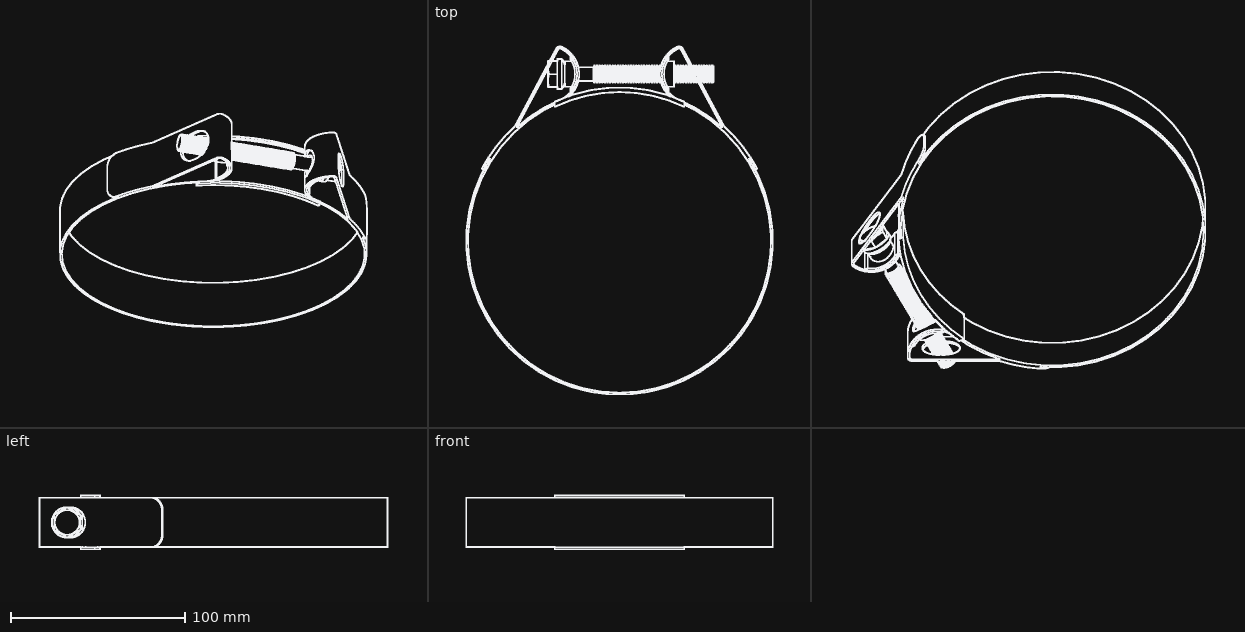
import cadquery as cq
import math

ring_diameter = 176.4
strap_width = 28.5
strap_thickness = 1.2

bolt_y = 96.0
loop_center_x = 40.5
tip_radius = 1.2
leg_tilt = 28.0
fold_y = 66.3
overlap_end_angle = 27.8
overlap_corner_radius = 7.2
fold_radius = 2.8
slot_width = 17.6
slot_height = 19.2
slot_y = 95.3
loop_hole_diameter = 16.0

bridge_length = 74.5
bridge_width = 31.0
bridge_thickness = 1.3
lip_overhang = 0.3

saddle_thickness = 1.2
saddle_back_x = 28.5
boss_diameter = 14.8
boss_end_x = 31.5

thread_diameter = 10.0
thread_root_diameter = 8.2
thread_pitch = 1.5
groove_mouth = thread_pitch * 7 / 8
groove_floor = thread_pitch / 4
thread_start_x = -15.0
thread_end_x = 54.0
thread_end_chamfer = 0.6
shank_diameter = 8.0
head_flats = 15.0
head_end_x = -41.2
head_face_diameter = 14.2
head_chamfer_height = 0.8
flange_diameter = 17.5
flange_start_x = -35.6
flange_dome_x = -33.2
flange_dome_bulge = 0.2
flange_seat_diameter = 10.8

ring_outer = ring_diameter / 2
ring_inner = ring_outer - strap_thickness
overlap_outer = ring_outer + strap_thickness
loop_center = (-loop_center_x, bolt_y)
loop_radius = math.hypot(*loop_center) - ring_inner
loop_inner = loop_radius - strap_thickness
saddle_inner = loop_inner - saddle_thickness
leg_direction = (math.sin(math.radians(leg_tilt)), math.cos(math.radians(leg_tilt)))


def polar(radius, degrees, center=(0.0, 0.0)):
    angle = math.radians(degrees)
    return (center[0] + radius * math.cos(angle), center[1] + radius * math.sin(angle))


def direction_angle(point, center=(0.0, 0.0)):
    return math.degrees(math.atan2(point[1] - center[1], point[0] - center[0]))


def along_leg_to_circle(start, center, radius):
    """Upper crossing of a circle with the line through start along the leg."""
    dx = start[0] - center[0]
    dy = start[1] - center[1]
    along = dx * leg_direction[0] + dy * leg_direction[1]
    step = -along + math.sqrt(along**2 - dx**2 - dy**2 + radius**2)
    return (start[0] + step * leg_direction[0], start[1] + step * leg_direction[1])


def mid_arc(start, end, radius, center=(0.0, 0.0)):
    """Point halfway along the arc between two points around a centre."""
    middle = (direction_angle(start, center) + direction_angle(end, center)) / 2
    return polar(radius, middle, center)


def arc_band(inner, outer, start_angle, end_angle, width):
    """Flat-ended part of a tube around Z, centred on Z = 0."""
    middle_angle = (start_angle + end_angle) / 2
    return (
        cq.Workplane("XY", origin=(0, 0, -width / 2))
        .moveTo(*polar(outer, start_angle))
        .threePointArc(polar(outer, middle_angle), polar(outer, end_angle))
        .lineTo(*polar(inner, end_angle))
        .threePointArc(polar(inner, middle_angle), polar(inner, start_angle))
        .close()
        .extrude(width)
    )


def x_cylinder(diameter, start_x, end_x):
    """Cylinder on the bolt axis."""
    return (
        cq.Workplane("YZ", origin=(start_x, bolt_y, 0))
        .circle(diameter / 2)
        .extrude(end_x - start_x)
    )


def left_loop():
    fold_outer = (-math.sqrt(overlap_outer**2 - fold_y**2), fold_y)
    leg_inner_start = (
        fold_outer[0] + strap_thickness * leg_direction[1],
        fold_outer[1] - strap_thickness * leg_direction[0],
    )
    tip_outer = along_leg_to_circle(fold_outer, loop_center, loop_radius)
    tip_inner = along_leg_to_circle(leg_inner_start, loop_center, loop_inner)
    fold_inner = along_leg_to_circle(leg_inner_start, (0, 0), ring_outer)
    foot_angle = direction_angle(loop_center)
    foot_outer = polar(ring_inner, foot_angle)
    foot_inner = polar(ring_outer, foot_angle)
    end_outer = polar(overlap_outer, 180 - overlap_end_angle)
    end_inner = polar(ring_outer, 180 - overlap_end_angle)

    loop = (
        cq.Workplane("XY", origin=(0, 0, -strap_width / 2))
        .moveTo(*foot_outer)
        .threePointArc(mid_arc(foot_outer, tip_outer, loop_radius, loop_center), tip_outer)
        .lineTo(*fold_outer)
        .threePointArc(mid_arc(fold_outer, end_outer, overlap_outer), end_outer)
        .lineTo(*end_inner)
        .threePointArc(mid_arc(end_inner, fold_inner, ring_outer), fold_inner)
        .lineTo(*tip_inner)
        .threePointArc(mid_arc(tip_inner, foot_inner, loop_inner, loop_center), foot_inner)
        .close()
        .extrude(strap_width)
    )
    loop = loop.edges(cq.NearestToPointSelector((*tip_outer, 0))).fillet(tip_radius + strap_thickness)
    loop = loop.edges(cq.NearestToPointSelector((*tip_inner, 0))).fillet(tip_radius)
    loop = loop.edges(cq.NearestToPointSelector((*fold_outer, 0))).fillet(fold_radius)

    end_middle = polar(ring_outer + strap_thickness / 2, 180 - overlap_end_angle)
    for side in (-1, 1):
        corner = (*end_middle, side * strap_width / 2)
        loop = loop.edges(cq.NearestToPointSelector(corner)).fillet(overlap_corner_radius)

    leg_slot = (
        cq.Workplane("YZ", origin=(-ring_outer, slot_y, 0))
        .slot2D(slot_height, slot_width)
        .extrude(ring_outer - loop_center_x + loop_radius / 2)
    )
    return loop.cut(leg_slot)


def build_strap():
    left_foot_angle = direction_angle(loop_center)
    right_foot_angle = 180 - left_foot_angle
    ring = arc_band(ring_inner, ring_outer, left_foot_angle, 360 + right_foot_angle, strap_width)
    loop = left_loop()
    strap = ring.union(loop, clean=False).union(loop.mirror("YZ"), clean=False)
    return strap.cut(x_cylinder(loop_hole_diameter, -loop_center_x, loop_center_x), clean=False)


def build_bridge():
    base_inner = ring_inner - bridge_thickness
    lip_outer = ring_outer + lip_overhang
    channel = arc_band(base_inner, lip_outer, 0, 180, bridge_width)
    strap_room = arc_band(ring_inner, overlap_outer, 0, 180, strap_width)
    trim = cq.Workplane("XY").box(bridge_length, 2 * ring_diameter, bridge_width)
    return channel.cut(strap_room).intersect(trim)


def left_saddle():
    boss = x_cylinder(boss_diameter, -boss_end_x, -loop_center_x + loop_inner)
    loop_space = cq.Workplane("XY").cylinder(strap_width, loop_inner).translate((*loop_center, 0))
    hollow = cq.Workplane("XY").cylinder(strap_width, saddle_inner).translate((*loop_center, 0))
    plate_room = (
        cq.Workplane("XY")
        .box(loop_radius, 2 * loop_radius, strap_width)
        .translate((-saddle_back_x + loop_radius / 2, bolt_y, 0))
    )
    plate = loop_space.cut(hollow).intersect(plate_room)
    saddle = plate.union(boss.intersect(loop_space))
    return saddle.cut(x_cylinder(thread_diameter, -loop_center_x, 0))


def bolt_head():
    hexagon = (
        cq.Workplane("YZ", origin=(head_end_x, bolt_y, 0))
        .polygon(6, head_flats, circumscribed=True)
        .extrude(flange_start_x - head_end_x)
    )
    corner_radius = head_flats / math.sqrt(3)
    face_radius = head_face_diameter / 2
    corner_cut = (
        cq.Workplane("XY")
        .moveTo(head_end_x, 0)
        .lineTo(head_end_x, face_radius)
        .lineTo(head_end_x + head_chamfer_height, corner_radius)
        .lineTo(flange_start_x, corner_radius)
        .lineTo(flange_start_x, 0)
        .close()
        .revolve(360, (0, 0, 0), (1, 0, 0))
        .translate((0, bolt_y, 0))
    )
    return hexagon.intersect(corner_cut)


def bolt_flange():
    rim = flange_diameter / 2
    seat = flange_seat_diameter / 2
    dome_middle = (
        (flange_dome_x - boss_end_x) / 2 + flange_dome_bulge,
        (rim + seat) / 2 + flange_dome_bulge,
    )
    return (
        cq.Workplane("XY")
        .moveTo(flange_start_x, 0)
        .lineTo(flange_start_x, rim)
        .lineTo(flange_dome_x, rim)
        .threePointArc(dome_middle, (-boss_end_x, seat))
        .lineTo(-boss_end_x, 0)
        .close()
        .revolve(360, (0, 0, 0), (1, 0, 0))
        .translate((0, bolt_y, 0))
    )


def bolt_rod():
    crest = thread_diameter / 2
    root = thread_root_diameter / 2
    rod = (
        cq.Workplane("XY")
        .moveTo(-boss_end_x, 0)
        .lineTo(-boss_end_x, shank_diameter / 2)
        .lineTo(thread_start_x, shank_diameter / 2)
        .lineTo(thread_start_x + thread_end_chamfer, crest)
    )
    groove_count = int((thread_end_x - thread_start_x - 2 * thread_end_chamfer) / thread_pitch)
    for index in range(groove_count):
        groove_x = thread_start_x + thread_end_chamfer + (index + 0.5) * thread_pitch
        rod = rod.lineTo(groove_x - groove_mouth / 2, crest)
        rod = rod.lineTo(groove_x - groove_floor / 2, root)
        rod = rod.lineTo(groove_x + groove_floor / 2, root)
        rod = rod.lineTo(groove_x + groove_mouth / 2, crest)
    return (
        rod.lineTo(thread_end_x - thread_end_chamfer, crest)
        .lineTo(thread_end_x, crest - thread_end_chamfer)
        .lineTo(thread_end_x, 0)
        .close()
        .revolve(360, (0, 0, 0), (1, 0, 0))
        .translate((0, bolt_y, 0))
    )


def build_bolt():
    return bolt_head().union(bolt_flange()).union(bolt_rod())


strap = build_strap()
bridge = build_bridge()
bolt = build_bolt()
saddles = [left_saddle(), left_saddle().mirror("YZ")]

result = cq.Compound.makeCompound(
    [strap.val(), bridge.val(), bolt.val()] + [saddle.val() for saddle in saddles]
)